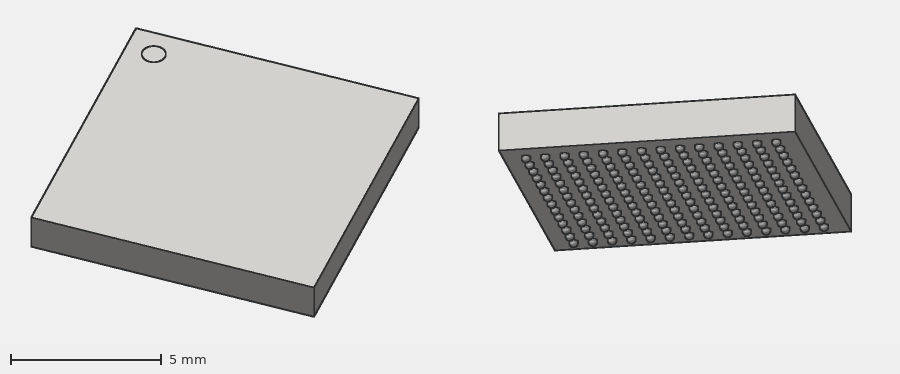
import cadquery as cq

body_side = 10.0
overall_height = 1.51

balls_per_side = 14
ball_pitch = 0.65
ball_radius = 0.15
stub_height = 0.05
ball_drop = stub_height + ball_radius

body_height = overall_height - ball_drop

mark_radius = 0.4
mark_inset = 1.0
mark_depth = 0.01


def make_body():
    """Square slab whose lower face, where the balls attach, lies at Z = 0."""
    return cq.Workplane("XY").box(body_side, body_side, body_height, centered=(True, True, False))


def make_pin_one_mark():
    """Disc to cut from the top face at the -X, +Y corner."""
    centre_offset = body_side / 2 - mark_inset
    return (
        cq.Workplane("XY", origin=(0, 0, body_height - mark_depth))
        .center(-centre_offset, centre_offset)
        .circle(mark_radius)
        .extrude(mark_depth)
    )


def make_balls():
    """Grid of solder balls hanging from the lower face of the body."""
    ball = (
        cq.Workplane("XZ")
        .lineTo(ball_radius, 0)
        .lineTo(ball_radius, -stub_height)
        .radiusArc((0, -ball_drop), ball_radius)
        .close()
        .revolve(360, (0, 0, 0), (0, 1, 0))
        .val()
    )
    return (
        cq.Workplane("XY")
        .rarray(ball_pitch, ball_pitch, balls_per_side, balls_per_side)
        .eachpoint(lambda place: ball.moved(place))
    )


result = make_body().cut(make_pin_one_mark()).union(make_balls())